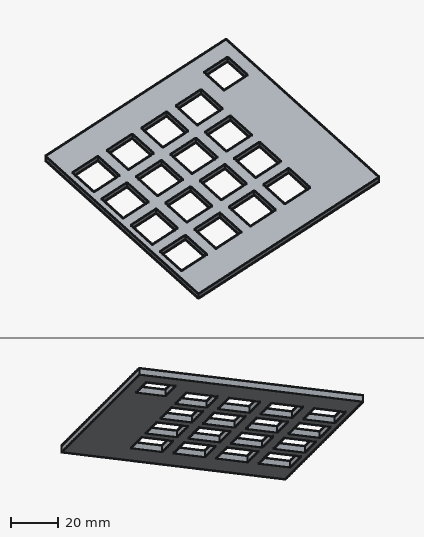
import cadquery as cq

plate_side = 100.0
plate_thickness = 3.0

key_opening = 14.0
key_pitch = 19.05
keys_per_side = 4
front_margin = 2.85

corner_opening = 13.0
corner_left_margin = 8.0
corner_back_margin = 5.9

grid_span = (keys_per_side - 1) * key_pitch
first_key_x = (plate_side - grid_span) / 2
first_key_y = front_margin + key_opening / 2
corner_center_x = corner_left_margin + corner_opening / 2
corner_center_y = plate_side - corner_back_margin - corner_opening / 2


def make_plate():
    return cq.Workplane("XY").box(plate_side, plate_side, plate_thickness, centered=False)


def square_cutter(side, center_x, center_y):
    """Square prism through the full plate thickness."""
    return cq.Workplane("XY").center(center_x, center_y).rect(side, side).extrude(plate_thickness)


def cut_key_grid(plate):
    for column in range(keys_per_side):
        for row in range(keys_per_side):
            key_x = first_key_x + column * key_pitch
            key_y = first_key_y + row * key_pitch
            plate = plate.cut(square_cutter(key_opening, key_x, key_y))
    return plate


def cut_corner_opening(plate):
    return plate.cut(square_cutter(corner_opening, corner_center_x, corner_center_y))


result = cut_corner_opening(cut_key_grid(make_plate()))